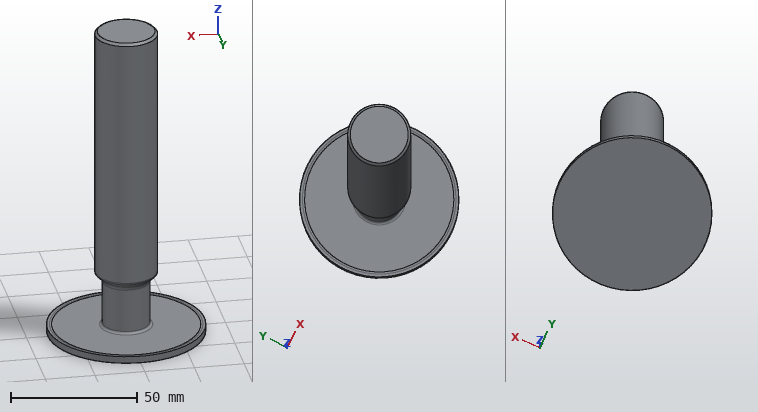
import cadquery as cq

pad_diameter = 63.0
pad_height = 2.9
lip_knee_diameter = 60.7
lip_knee_drop = 0.08
lip_inner_diameter = 59.0
flange_top_height = 2.7
flange_diameter = 61.4
flange_thickness = 1.7

total_height = 130.0
neck_diameter = 19.0
grip_diameter = 25.0
flare_base_height = 22.6
flare_base_round = 2.2
flare_top_round = 1.0
neck_base_round = 1.0
grip_top_chamfer = 1.0

recess_floor = flange_top_height - flange_thickness
lip_knee_height = pad_height - lip_knee_drop
flange_radius = flange_diameter / 2
pad_radius = pad_diameter / 2
lip_knee_radius = lip_knee_diameter / 2
lip_inner_radius = lip_inner_diameter / 2
flange_edge_chamfer = flange_radius - lip_inner_radius
neck_radius = neck_diameter / 2
grip_radius = grip_diameter / 2
flare_top_height = flare_base_height + grip_radius - neck_radius


def ring_edges(body, radius, height):
    """Circular edges of the given radius around Z at the given height."""
    tolerance = 0.01
    low = (-radius - tolerance, -radius - tolerance, height - tolerance)
    high = (radius + tolerance, radius + tolerance, height + tolerance)
    box = cq.selectors.BoxSelector(low, high, boundingbox=True)
    return body.edges(box).edges(cq.selectors.RadiusNthSelector(-1))


def make_post():
    """Flange, neck, flare and grip turned as one solid."""
    post = (
        cq.Workplane("XZ")
        .moveTo(0, recess_floor)
        .lineTo(flange_radius, recess_floor)
        .lineTo(flange_radius, flange_top_height - flange_edge_chamfer)
        .lineTo(lip_inner_radius, flange_top_height)
        .lineTo(neck_radius, flange_top_height)
        .lineTo(neck_radius, flare_base_height)
        .lineTo(grip_radius, flare_top_height)
        .lineTo(grip_radius, total_height)
        .lineTo(0, total_height)
        .close()
        .revolve(360, (0, 0, 0), (0, 1, 0))
    )
    post = ring_edges(post, grip_radius, total_height).chamfer(grip_top_chamfer)
    post = ring_edges(post, grip_radius, flare_top_height).fillet(flare_top_round)
    post = ring_edges(post, neck_radius, flare_base_height).fillet(flare_base_round)
    return ring_edges(post, neck_radius, flange_top_height).fillet(neck_base_round)


def make_pad():
    """Shallow cup with a lip that slopes gently down to the flange top."""
    return (
        cq.Workplane("XZ")
        .lineTo(pad_radius, 0)
        .lineTo(pad_radius, pad_height)
        .lineTo(lip_knee_radius, lip_knee_height)
        .lineTo(lip_inner_radius, flange_top_height)
        .lineTo(flange_radius, flange_top_height - flange_edge_chamfer)
        .lineTo(flange_radius, recess_floor)
        .lineTo(0, recess_floor)
        .close()
        .revolve(360, (0, 0, 0), (0, 1, 0))
    )


post = make_post()
pad = make_pad()

result = cq.Compound.makeCompound([post.val(), pad.val()])